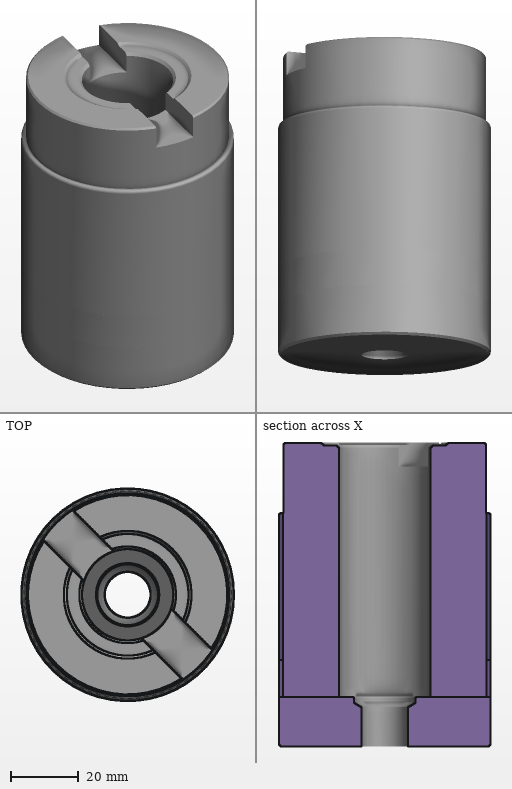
import cadquery as cq

OUTER_RADIUS = 62.9 / 2
TOTAL_HEIGHT = 90.0

BASE_TOP = 14.85
BAND_TOP = 25.7
SLEEVE_TOP = 69.2

CORE_RADIUS = 60.0 / 2
CORE_CHAMFER = 0.5
BORE_RADIUS = 27.0 / 2
MOUTH_CHAMFER = 0.8
RECESS_RADIUS = 18.0
RECESS_DEPTH = 0.7
RECESS_TOP_RADIUS = 18.9
SLOT_WIDTH = 12.4
SLOT_DEPTH = 7.2
SLOT_ANGLE = -45.0

BASE_CHAMFER = 0.7
HOLE_RADIUS = 13.5 / 2
SEAT_RADIUS = 18.0 / 2
SEAT_EDGE_CHAMFER = 0.4
SEAT_DEPTH = 1.8
CONE_HEIGHT = 1.35

SHOULDER_FILLET = 0.9


def revolve_profile(points):
    """Turn a closed (radius, height) outline about the Z axis."""
    return cq.Workplane("XZ").polyline(points).close().revolve(360, (0, 0, 0), (0, 1, 0))


def make_base():
    """Bottom disc with a chamfered rim and a conical seat above the through hole."""
    seat_bottom = BASE_TOP - SEAT_DEPTH
    cone_bottom = seat_bottom - CONE_HEIGHT
    return revolve_profile([
        (HOLE_RADIUS, 0),
        (OUTER_RADIUS - BASE_CHAMFER, 0),
        (OUTER_RADIUS, BASE_CHAMFER),
        (OUTER_RADIUS, BASE_TOP),
        (SEAT_RADIUS + SEAT_EDGE_CHAMFER, BASE_TOP),
        (SEAT_RADIUS, BASE_TOP - SEAT_EDGE_CHAMFER),
        (SEAT_RADIUS, seat_bottom),
        (HOLE_RADIUS, cone_bottom),
    ])


def make_ring(bottom, top):
    """Outer ring around the core."""
    return revolve_profile([
        (CORE_RADIUS, bottom),
        (OUTER_RADIUS, bottom),
        (OUTER_RADIUS, top),
        (CORE_RADIUS, top),
    ])


def make_sleeve():
    """Upper outer ring with its shoulder rounded over."""
    ring = make_ring(BAND_TOP, SLEEVE_TOP)
    shoulder_edge = ring.faces(">Z").edges(cq.selectors.RadiusNthSelector(-1))
    return shoulder_edge.fillet(SHOULDER_FILLET)


def make_core():
    """Bored core with a shallow recess in its top face and a slot across it."""
    slot_floor = TOTAL_HEIGHT - SLOT_DEPTH
    recess_floor = TOTAL_HEIGHT - RECESS_DEPTH
    body = revolve_profile([
        (BORE_RADIUS, BASE_TOP),
        (CORE_RADIUS, BASE_TOP),
        (CORE_RADIUS, TOTAL_HEIGHT - CORE_CHAMFER),
        (CORE_RADIUS - CORE_CHAMFER, TOTAL_HEIGHT),
        (RECESS_TOP_RADIUS, TOTAL_HEIGHT),
        (RECESS_RADIUS, recess_floor),
        (BORE_RADIUS + MOUTH_CHAMFER, recess_floor),
        (BORE_RADIUS, recess_floor - MOUTH_CHAMFER),
    ])
    slot = (
        cq.Workplane("XY")
        .box(2 * OUTER_RADIUS, SLOT_WIDTH, SLOT_DEPTH, centered=(True, True, False))
        .translate((0, 0, slot_floor))
        .rotate((0, 0, 0), (0, 0, 1), SLOT_ANGLE)
    )
    return body.cut(slot)


base = make_base()
band = make_ring(BASE_TOP, BAND_TOP)
sleeve = make_sleeve()
core = make_core()

result = cq.Compound.makeCompound([base.val(), band.val(), sleeve.val(), core.val()])